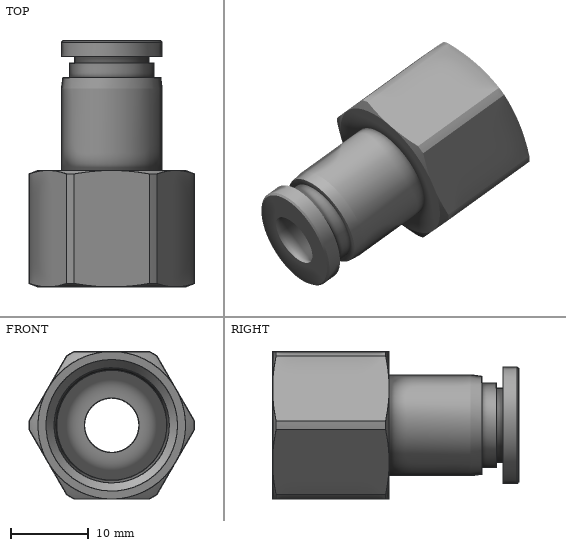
import cadquery as cq
import math

total_length = 31.7

hex_across_flats = 19.0
hex_across_corners = 21.3
hex_length = 15.0
hex_chamfer_depth = 0.45

socket_mouth_diameter = 16.93
socket_diameter = 14.85
socket_chamfer_depth = (socket_mouth_diameter - socket_diameter) / 2
socket_depth = 12.05
socket_taper = 1 / 16
passage_diameter = 6.97

body_diameter = 13.0
body_tip_diameter = 12.62
body_taper_length = 1.45
shoulder_diameter = 10.95
shoulder_length = 1.87
neck_diameter = 9.57
neck_length = 0.82

collar_width = body_diameter
collar_height = 15.03
collar_thickness = 2.05
collar_chamfer = 0.22

collar_start = total_length - collar_thickness
neck_start = collar_start - neck_length
shoulder_start = neck_start - shoulder_length
body_taper_start = shoulder_start - body_taper_length


def turned(profile):
    """Revolve a closed (radius, Y) outline about the Y axis."""
    return cq.Workplane("XY").polyline(profile).close().revolve(360, (0, 0, 0), (0, 1, 0))


def make_hex_end():
    """Hexagonal prism with turned corners and a conical chamfer at each end."""
    sharp_corner_diameter = hex_across_flats / math.cos(math.pi / 6)
    prism = cq.Workplane("XZ").polygon(6, sharp_corner_diameter).extrude(-hex_length)
    face_radius = hex_across_flats / 2
    corner_radius = hex_across_corners / 2
    envelope = turned([
        (0, 0),
        (face_radius, 0),
        (corner_radius, hex_chamfer_depth),
        (corner_radius, hex_length - hex_chamfer_depth),
        (face_radius, hex_length),
        (0, hex_length),
    ])
    return prism.intersect(envelope)


def make_body():
    """Round body stepping down to the shoulder and the neck below the collar."""
    return turned([
        (0, socket_depth),
        (body_diameter / 2, socket_depth),
        (body_diameter / 2, body_taper_start),
        (body_tip_diameter / 2, shoulder_start),
        (shoulder_diameter / 2, shoulder_start),
        (shoulder_diameter / 2, neck_start),
        (neck_diameter / 2, neck_start),
        (neck_diameter / 2, collar_start),
        (0, collar_start),
    ])


def make_collar():
    """Oval disc with its outer rim chamfered on the +Y face."""
    start_plane = cq.Workplane("XZ", origin=(0, collar_start, 0))
    disc = start_plane.ellipse(collar_width / 2, collar_height / 2).extrude(-collar_thickness)
    return disc.faces(">Y").edges().chamfer(collar_chamfer)


def make_bore():
    """Chamfered tapered socket, followed by the passage through the rest of the part."""
    socket_floor_diameter = socket_diameter - socket_taper * (socket_depth - socket_chamfer_depth)
    return turned([
        (0, 0),
        (socket_mouth_diameter / 2, 0),
        (socket_diameter / 2, socket_chamfer_depth),
        (socket_floor_diameter / 2, socket_depth),
        (passage_diameter / 2, socket_depth),
        (passage_diameter / 2, total_length),
        (0, total_length),
    ])


result = make_hex_end().union(make_body()).union(make_collar()).cut(make_bore())